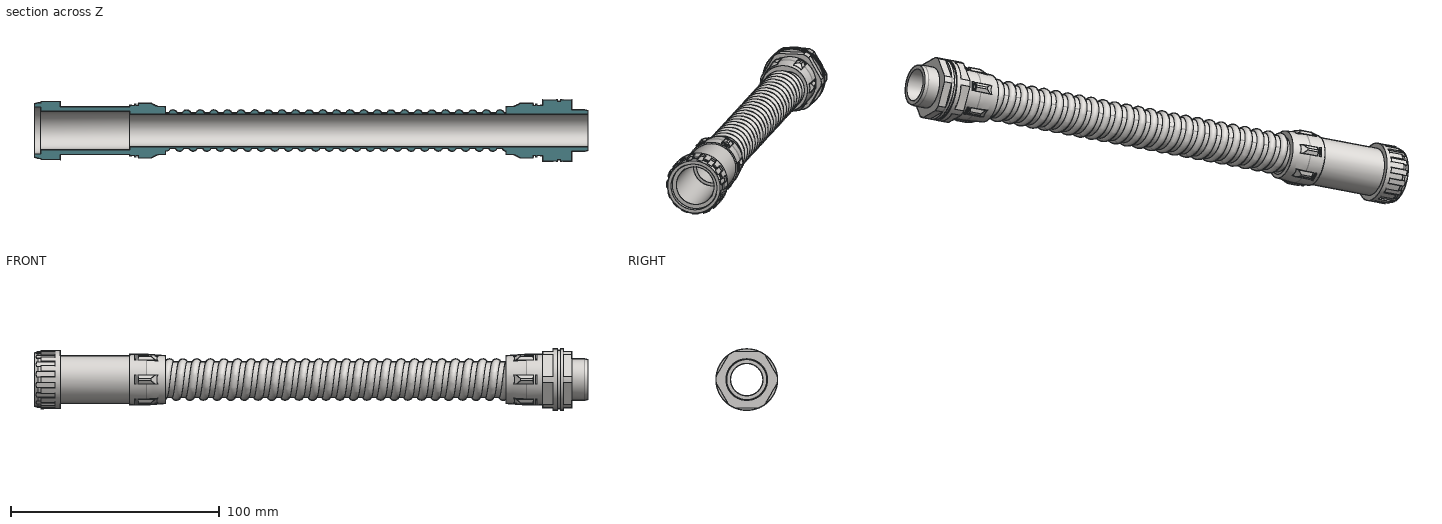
import cadquery as cq
import math


TOTAL_LENGTH = 265.5

NUT_LENGTH = 12.5
NUT_RADIUS = 14.0
NUT_LIP_LENGTH = 3.2
NUT_LIP_RADIUS = 13.4
NUT_LIP_CHAMFER = 1.8
NUT_LIP_CHAMFER_DEPTH = 0.6
GRIP_COUNT = 16
GRIP_WIDTH = 2.6
GRIP_FLOOR_RADIUS = 13.1
GRIP_END = 10.0
GRIP_CUT_CLEARANCE = 1.0

SLEEVE_RADIUS = 11.5
COLLAR_RADIUS = 12.2
COLLAR_START = 45.7
COLLAR_TAPER_START = 53.8
COLLAR_END = 63.0

HOSE_RADIUS = 8.65
HOSE_START = 52.0
HOSE_END = 234.0
RIDGE_RADIUS = 10.0
RIDGE_FOOT_RADIUS = 8.3
RIDGE_HALF_WIDTH = 2.0
RIDGE_PITCH = 6.53
RIDGE_START = 55.0
RIDGE_LENGTH_TURNS = 3
RIDGE_LENGTH_COUNT = 9

GLAND_START = 226.0
GLAND_TAPER_END = 236.0

HEX_ACROSS_FLATS = 27.0
FLANGE_RADIUS = 14.8
HEX_START = 243.6
FLANGE_START = 248.5
FLANGE_GROOVE_START = 250.8
FLANGE_GROOVE_END = 252.2
FLANGE_GROOVE_RADIUS = 14.1
FLANGE_END = 253.7
HEX_END = 257.7

SPIGOT_RADIUS = 10.0
SPIGOT_CHAMFER = 1.8
SPIGOT_CHAMFER_DEPTH = 0.4

TAB_COUNT = 6
TAB_WIDTH = 4.4
TAB_CREST_WIDTH = 1.0
TAB_CREST_RADIUS = 13.2
TAB_BASE_RADIUS = 11.0
TAB_FLANK_RADIUS = 12.2
TAB_STEEP_RUN = 0.3
TAB_CREST_LENGTH = 6.0
TAB_RAMP_RUN = 4.5
TAB_STOP_GAP = 1.6
TAB_STOP_LENGTH = 0.8
TAB_STOP_RADIUS = 12.7
SLEEVE_TAB_START = 49.6
GLAND_TAB_START = 239.4

NUT_RECESS_RADIUS = 11.2
NUT_RECESS_DEPTH = 3.0
SLEEVE_BORE_RADIUS = 9.2
HOSE_BORE_RADIUS = 7.7


def turned(outline):
    return cq.Workplane("XZ").polyline(outline).close().revolve(360, (0, 0, 0), (1, 0, 0))


def turned_ends():
    """The round stretches of the nut with its sleeve and of the gland, without the hose."""
    sleeve_outline = [
        (0, 0),
        (0, NUT_LIP_RADIUS - NUT_LIP_CHAMFER_DEPTH),
        (NUT_LIP_CHAMFER, NUT_LIP_RADIUS),
        (NUT_LIP_LENGTH, NUT_LIP_RADIUS),
        (NUT_LIP_LENGTH, NUT_RADIUS),
        (NUT_LENGTH, NUT_RADIUS),
        (NUT_LENGTH, SLEEVE_RADIUS),
        (COLLAR_START, SLEEVE_RADIUS),
        (COLLAR_START, COLLAR_RADIUS),
        (COLLAR_TAPER_START, COLLAR_RADIUS),
        (COLLAR_END, SLEEVE_RADIUS),
        (COLLAR_END, 0),
    ]
    gland_outline = [
        (GLAND_START, 0),
        (GLAND_START, SLEEVE_RADIUS),
        (GLAND_TAPER_END, COLLAR_RADIUS),
        (FLANGE_START, COLLAR_RADIUS),
        (FLANGE_START, FLANGE_RADIUS),
        (FLANGE_GROOVE_START, FLANGE_RADIUS),
        (FLANGE_GROOVE_START, FLANGE_GROOVE_RADIUS),
        (FLANGE_GROOVE_END, FLANGE_GROOVE_RADIUS),
        (FLANGE_GROOVE_END, FLANGE_RADIUS),
        (FLANGE_END, FLANGE_RADIUS),
        (FLANGE_END, SPIGOT_RADIUS),
        (TOTAL_LENGTH - SPIGOT_CHAMFER, SPIGOT_RADIUS),
        (TOTAL_LENGTH, SPIGOT_RADIUS - SPIGOT_CHAMFER_DEPTH),
        (TOTAL_LENGTH, 0),
    ]
    return turned(sleeve_outline).union(turned(gland_outline))


def cylinder(start, end, radius):
    return cq.Workplane("YZ", origin=(start, 0, 0)).circle(radius).extrude(end - start)


def hexagon(start, end):
    """A hexagon with two flats facing +Z and -Z and its corners turned to the flange radius."""
    corner_diameter = HEX_ACROSS_FLATS / math.cos(math.pi / 6)
    prism = cq.Workplane("YZ", origin=(start, 0, 0)).polygon(6, corner_diameter).extrude(end - start)
    return prism.intersect(cylinder(start, end, FLANGE_RADIUS))


def ridge_length():
    """A few turns of the arched ridge, along X from X = 0, beginning on the -Z side."""
    advance = RIDGE_PITCH * RIDGE_LENGTH_TURNS
    helix = cq.Wire.makeHelix(RIDGE_PITCH, advance, HOSE_RADIUS, lefthand=True)
    section = (
        cq.Workplane("XZ")
        .moveTo(RIDGE_FOOT_RADIUS, -RIDGE_HALF_WIDTH)
        .lineTo(HOSE_RADIUS, -RIDGE_HALF_WIDTH)
        .threePointArc((RIDGE_RADIUS, 0), (HOSE_RADIUS, RIDGE_HALF_WIDTH))
        .lineTo(RIDGE_FOOT_RADIUS, RIDGE_HALF_WIDTH)
        .close()
    )
    return section.sweep(cq.Workplane(helix), isFrenet=True).rotate((0, 0, 0), (0, 1, 0), 90)


def hose():
    """The hose wall with its ridge; whole turns make the ridge lengths join end to end."""
    wall = cylinder(HOSE_START, HOSE_END, HOSE_RADIUS)
    for index in range(RIDGE_LENGTH_COUNT):
        start = RIDGE_START + index * RIDGE_LENGTH_TURNS * RIDGE_PITCH
        wall = wall.union(ridge_length().translate((start, 0, 0)), clean=False)
    return wall


def grip_groove(angle):
    """One flat-floored groove in the nut, open toward the start face."""
    height = NUT_RADIUS + GRIP_CUT_CLEARANCE - GRIP_FLOOR_RADIUS
    groove = cq.Workplane("XY").box(GRIP_END, GRIP_WIDTH, height, centered=(False, True, False))
    return groove.translate((0, 0, GRIP_FLOOR_RADIUS)).rotate((0, 0, 0), (1, 0, 0), angle)


def latch_tab(start, direction, angle):
    """A roof-shaped tab with a steep end at `start`, ramping down along `direction` (+1 or -1)."""
    crest_start = TAB_STEEP_RUN
    crest_end = crest_start + TAB_CREST_LENGTH
    ramp_end = crest_end + TAB_RAMP_RUN
    side = [
        (start, TAB_BASE_RADIUS),
        (start + direction * crest_start, TAB_CREST_RADIUS),
        (start + direction * crest_end, TAB_CREST_RADIUS),
        (start + direction * ramp_end, TAB_BASE_RADIUS),
    ]
    half_width = TAB_WIDTH / 2
    half_crest = TAB_CREST_WIDTH / 2
    section = [
        (-half_width, TAB_BASE_RADIUS),
        (-half_width, TAB_FLANK_RADIUS),
        (-half_crest, TAB_CREST_RADIUS),
        (half_crest, TAB_CREST_RADIUS),
        (half_width, TAB_FLANK_RADIUS),
        (half_width, TAB_BASE_RADIUS),
    ]
    long_shape = cq.Workplane("XZ").polyline(side).close().extrude(half_width, both=True)
    roof_plane = cq.Workplane("YZ", origin=(start, 0, 0))
    roof = roof_plane.polyline(section).close().extrude(direction * ramp_end)
    stop_center = start - direction * (TAB_STOP_GAP - TAB_STOP_LENGTH / 2)
    stop = cq.Workplane("XY").box(
        TAB_STOP_LENGTH, TAB_WIDTH, TAB_STOP_RADIUS - TAB_BASE_RADIUS, centered=(True, True, False)
    )
    stop = stop.translate((stop_center, 0, TAB_BASE_RADIUS))
    return [shape.rotate((0, 0, 0), (1, 0, 0), angle) for shape in (long_shape.intersect(roof), stop)]


body = turned_ends()
body = body.union(hexagon(HEX_START, FLANGE_START)).union(hexagon(FLANGE_END, HEX_END))

for index in range(GRIP_COUNT):
    body = body.cut(grip_groove((index + 0.5) * 360 / GRIP_COUNT))

for index in range(TAB_COUNT):
    tab_angle = 90 + index * 360 / TAB_COUNT
    tabs = latch_tab(SLEEVE_TAB_START, 1, tab_angle) + latch_tab(GLAND_TAB_START, -1, tab_angle)
    for shape in tabs:
        body = body.union(shape)

body = body.union(hose(), clean=False)
body = body.cut(cylinder(0, NUT_RECESS_DEPTH, NUT_RECESS_RADIUS))
body = body.cut(cylinder(0, COLLAR_START, SLEEVE_BORE_RADIUS))
result = body.cut(cylinder(COLLAR_START, TOTAL_LENGTH, HOSE_BORE_RADIUS))